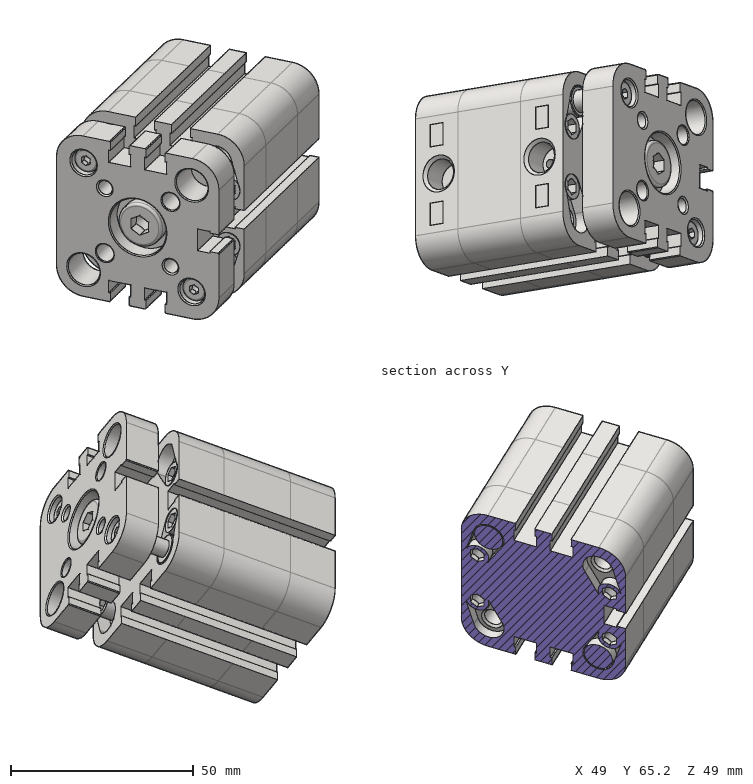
import cadquery as cq
import math


length = 65.2
width = 49.0
corner_radius = 8.0
flange_thickness = 10.0
gap = 6.5
cap_length = 14.0
body_front = flange_thickness + gap
half_width = width / 2

slot_depth = 6.45
slot_width = 6.65
slot_lip_depth = 2.75
slot_opening = 5.7
slot_offset = 5.4
lip_bevel = 0.25

corner_offset = 16.3
pin_corners = ((-1, 1, 6.3), (1, -1, 5.0))
mount_corners = ((1, 1), (-1, -1))
all_corners = tuple((sx, sz) for sx in (-1, 1) for sz in (-1, 1))

mount_diameter = 5.2
mount_chamfer = 0.65
flange_clearance_diameter = 9.5
flange_clearance_chamfer = 0.3

pocket_diameter = 9.0
pocket_depth = 4.25
cap_screw_x = 19.7
cap_screw_z = 8.5
cap_screw_diameter = 7.0
cap_screw_recess = 0.2
cap_screw_socket = 4.0
cap_screw_socket_depth = 2.6
bushing_diameter = 8.55
bushing_chamfer = 0.25

port_from_end = 7.7
port_diameter = 8.55
port_depth = 8.0
port_chamfer = 0.9
passage_diameter = 2.5
passage_offset = 1.95
passage_depth = 2.6
label_from_end = 7.0
label_length = 4.2
label_height = 6.25
label_offset = 11.1
label_depth = 0.2

rod_diameter = 12.0
rod_tip_radius = 1.05
rod_flats = 10.0
rod_flat_length = 4.25
rod_flat_run_out = 1.3

center_bore_diameter = 17.0
center_bore_depth = 5.0
center_bore_chamfer = 0.3
center_head_diameter = 13.05
center_head_recess = 1.4
center_head_rim_radius = 0.8
center_socket = 5.2
center_socket_depth = 3.25

pin_bore_diameter = 7.5
pin_bore_depth = 4.0
pin_bore_chamfer = 0.4
pin_head_diameter = 7.0
pin_head_recess = 1.5
pin_head_rim_radius = 0.45
pin_socket = 2.6
pin_socket_depth = 1.6

socket_tip_slope = 0.58

load_offset = 9.9
thread_diameter = 4.2
thread_chamfer = 0.425
dowel_diameter = 5.2
dowel_chamfer = 0.25


def front_plane(y, x=0.0, z=0.0):
    """Workplane at (x, y, z) whose local x, y and normal are +X, -Z and +Y."""
    return cq.Workplane(cq.Plane((x, y, z), (1, 0, 0), (0, 1, 0)))


def rod_y(diameter, start, end, x=0.0, z=0.0):
    return front_plane(start, x, z).circle(diameter / 2).extrude(end - start)


def countersink(plane, diameter, chamfer):
    """45-degree cone that chamfers the mouth of a hole along the plane normal."""
    radius = diameter / 2
    cone = cq.Solid.makeCone(radius + chamfer, radius, chamfer, plane.origin, plane.zDir)
    return cq.Workplane(cone)


def chamfered_bore(diameter, start, end, chamfer, x, z):
    bore = rod_y(diameter, start, end, x, z)
    return bore.union(countersink(front_plane(start, x, z).plane, diameter, chamfer))


def add_screw_head(block, diameter, start, end, rim_radius, socket, socket_depth, x, z):
    """Join a cylindrical screw head with a rounded rim and cut its cone-bottomed hexagon socket."""
    head = rod_y(diameter, start, end, x, z)
    if rim_radius:
        head = head.faces("<Y").edges().fillet(rim_radius)
    socket_circle = socket / math.cos(math.pi / 6)
    face = front_plane(start, x, z).transformed(rotate=(0, 0, 30))
    tip_depth = socket_depth + socket_circle / 2 * socket_tip_slope
    hexagon = face.polygon(6, socket_circle).extrude(tip_depth)
    tip_cone = cq.Solid.makeCone(
        tip_depth / socket_tip_slope, 0, tip_depth, face.plane.origin, face.plane.zDir
    )
    return block.union(head).cut(hexagon.intersect(cq.Workplane(tip_cone)))


def slot_cutter(start, end, bevel):
    """T-slot along Y in the +Z side, centred on X = 0."""
    mouth = slot_opening / 2
    wide = slot_width / 2
    lip_z = half_width - slot_lip_depth
    right = [(wide, half_width - slot_depth), (wide, lip_z), (mouth, lip_z)]
    if bevel:
        right += [(mouth, half_width - bevel), (mouth + bevel, half_width)]
    else:
        right += [(mouth, half_width)]
    left = [(-x, z) for x, z in reversed(right)]
    profile = [(x, -z) for x, z in right + left]
    return front_plane(start).polyline(profile).close().extrude(end - start)


def rounded_block(start, end):
    return front_plane(start).rect(width, width).extrude(end - start).edges("|Y").fillet(corner_radius)


def cut_slots(block, start, end, bevel=0.0):
    """Two slots in the +Z and -Z sides and one in the +X side; seams outside the slots are kept."""
    slot = slot_cutter(start, end, bevel)
    block = block.cut(slot.rotate((0, 0, 0), (0, 1, 0), 90), clean=False)
    for turn in (0, 180):
        turned = slot.rotate((0, 0, 0), (0, 1, 0), turn)
        for side in (-1, 1):
            block = block.cut(turned.translate((side * slot_offset, 0, 0)), clean=False)
    return block


def corner_pocket(side_x, side_z):
    """Pocket with straight sides tangent to the corner circle and the cap screw circle."""
    corner = cq.Vector(side_x * corner_offset, -side_z * corner_offset)
    screw = cq.Vector(side_x * cap_screw_x, -side_z * cap_screw_z)
    corner_r = pocket_diameter / 2
    screw_r = cap_screw_diameter / 2
    axis = screw - corner
    heading = math.atan2(axis.y, axis.x)
    spread = math.acos((corner_r - screw_r) / axis.Length)

    def rim(center, radius, angle):
        return (center.x + radius * math.cos(angle), center.y + radius * math.sin(angle))

    return (
        front_plane(body_front)
        .moveTo(*rim(corner, corner_r, heading + spread))
        .threePointArc(rim(corner, corner_r, heading + math.pi), rim(corner, corner_r, heading - spread))
        .lineTo(*rim(screw, screw_r, heading - spread))
        .threePointArc(rim(screw, screw_r, heading), rim(screw, screw_r, heading + spread))
        .close()
        .extrude(pocket_depth)
    )


def port(end_y, inward):
    """Side port near one body end; inward is the Y direction towards the body middle."""
    mouth = cq.Plane((-half_width, end_y + inward * port_from_end, 0), (0, 1, 0), (1, 0, 0))
    hole = cq.Workplane(mouth).circle(port_diameter / 2).extrude(port_depth)
    passage = (
        cq.Workplane(mouth)
        .center(inward * passage_offset, 0)
        .circle(passage_diameter / 2)
        .extrude(port_depth + passage_depth)
    )
    return hole.union(countersink(mouth, port_diameter, port_chamfer)).union(passage)


def labels(end_y, inward):
    """Pair of shallow rectangular recesses above and below a port."""
    face = cq.Plane((-half_width, end_y + inward * label_from_end, 0), (0, 1, 0), (1, 0, 0))
    return (
        cq.Workplane(face)
        .pushPoints([(0, label_offset), (0, -label_offset)])
        .rect(label_length, label_height)
        .extrude(label_depth)
    )


def make_front_cap():
    """Front cap with its port, labels, corner pockets, cap screws, mounting holes and pin bushings."""
    end = body_front + cap_length
    floor = body_front + pocket_depth
    cap = rounded_block(body_front, end)
    cap = cap.cut(port(body_front, 1)).cut(labels(body_front, 1))
    for side_x, side_z in all_corners:
        cap = cap.cut(corner_pocket(side_x, side_z))
        cap = add_screw_head(
            cap, cap_screw_diameter, body_front + cap_screw_recess, floor, 0.0,
            cap_screw_socket, cap_screw_socket_depth, side_x * cap_screw_x, side_z * cap_screw_z,
        )
    for side_x, side_z in mount_corners:
        x, z = side_x * corner_offset, side_z * corner_offset
        cap = cap.cut(rod_y(pocket_diameter, body_front, floor, x, z))
        cap = cap.cut(chamfered_bore(mount_diameter, floor, end, mount_chamfer, x, z))
    for side_x, side_z, _ in pin_corners:
        bushing = rod_y(bushing_diameter, body_front, floor, side_x * corner_offset, side_z * corner_offset)
        cap = cap.union(bushing.faces("<Y").edges().chamfer(bushing_chamfer))
    return cap


def drill_mounts(block):
    for side_x, side_z in mount_corners:
        block = block.cut(rod_y(mount_diameter, 0, length, side_x * corner_offset, side_z * corner_offset))
    return block


def make_body():
    """Front cap, barrel and rear cap; the joints stay as seams on the outside."""
    barrel = drill_mounts(rounded_block(body_front + cap_length, length - cap_length))
    rear_cap = drill_mounts(rounded_block(length - cap_length, length))
    rear_cap = rear_cap.cut(port(length, -1)).cut(labels(length, -1))
    body = make_front_cap().union(barrel, clean=False).union(rear_cap, clean=False)
    return cut_slots(body, body_front, length)


def make_rod():
    """Piston rod with a rounded tip and two wrench flats that run out at a slope."""
    rod = rod_y(rod_diameter, flange_thickness, body_front)
    rod = rod.faces("<Y").edges().fillet(rod_tip_radius)
    flat_x = rod_flats / 2
    flat_end = flange_thickness + rod_flat_length
    for side in (-1, 1):
        flat = (
            cq.Workplane("XY")
            .workplane(offset=-rod_diameter)
            .moveTo(side * flat_x, flange_thickness)
            .lineTo(side * flat_x, flat_end)
            .lineTo(side * (flat_x + rod_flat_run_out), flat_end + rod_flat_run_out)
            .lineTo(side * (flat_x + rod_flat_run_out), flange_thickness)
            .close()
            .extrude(2 * rod_diameter)
        )
        rod = rod.cut(flat)
    return rod


def make_flange():
    """Front flange with its screws, mounting clearances and load holes."""
    flange = cut_slots(rounded_block(0, flange_thickness), 0, flange_thickness, lip_bevel)
    flange = flange.cut(
        chamfered_bore(center_bore_diameter, 0, center_bore_depth, center_bore_chamfer, 0, 0)
    )
    flange = add_screw_head(
        flange, center_head_diameter, center_head_recess, center_bore_depth, center_head_rim_radius,
        center_socket, center_socket_depth, 0, 0,
    )
    for side_x, side_z, _ in pin_corners:
        x, z = side_x * corner_offset, side_z * corner_offset
        flange = flange.cut(chamfered_bore(pin_bore_diameter, 0, pin_bore_depth, pin_bore_chamfer, x, z))
        flange = add_screw_head(
            flange, pin_head_diameter, pin_head_recess, pin_bore_depth, pin_head_rim_radius,
            pin_socket, pin_socket_depth, x, z,
        )
        load_x, load_z = side_x * load_offset, side_z * load_offset
        flange = flange.cut(
            chamfered_bore(thread_diameter, 0, flange_thickness, thread_chamfer, load_x, load_z)
        )
    for side_x, side_z in mount_corners:
        x, z = side_x * corner_offset, side_z * corner_offset
        flange = flange.cut(
            chamfered_bore(flange_clearance_diameter, 0, flange_thickness, flange_clearance_chamfer, x, z)
        )
        load_x, load_z = side_x * load_offset, side_z * load_offset
        flange = flange.cut(
            chamfered_bore(dowel_diameter, 0, flange_thickness, dowel_chamfer, load_x, load_z)
        )
    return flange


result = make_body().union(make_rod(), clean=False)
for side_x, side_z, diameter in pin_corners:
    pin = rod_y(diameter, flange_thickness, body_front, side_x * corner_offset, side_z * corner_offset)
    result = result.union(pin, clean=False)
result = result.union(make_flange(), clean=False)